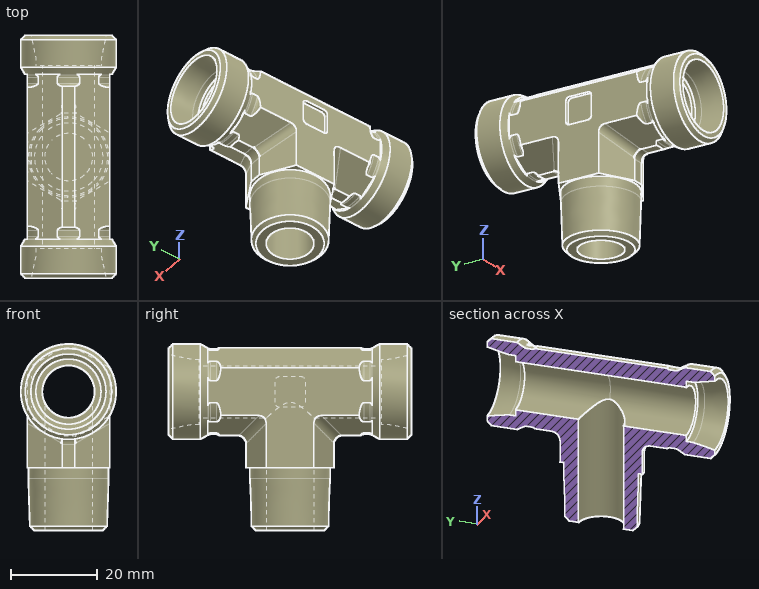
import cadquery as cq
import math

length = 56.0
overall_height = 43.0

across_flats = 19.05
truncated_half_height = 10.15
flat_half = across_flats / 2
corner_half = flat_half / math.sqrt(3)
truncation_half_width = (2 * corner_half - truncated_half_height) * math.sqrt(3)
stem_hex_bottom = -17.5
inside_corner_radius = 2.0

collar_radius = 22.0 / 2
collar_chamfer = 1.05
collar_cone_start = 20.6
collar_inner_end = 18.9
cone_angle = math.radians(30)

groove_radius = 9.85
groove_inner_end = 15.95
groove_fillet = 1.0
groove_clearance_radius = 12.3

bore_diameter = 12.0
socket_diameter = 15.0
socket_depth = 7.0
mouth_diameter = 17.3
mouth_half_angle = math.radians(12)

stem_bore_diameter = 11.0
stem_end_radius = 18.55 / 2
taper_start = -20.0
stem_bottom = collar_radius - overall_height
stem_chamfer = 1.05
taper_per_length = 1 / 32

recess_size = 7.0
recess_corner_radius = 1.0
recess_depth = 1.0


def collar_cone_radius(y):
    return collar_radius - (collar_cone_start - y) * math.tan(cone_angle)


def revolve_about_y(outline):
    """Turn a closed (radius, y) outline once around the run axis."""
    return outline.close().revolve(360, (0, 0, 0), (0, 1, 0))


def both_ends(end):
    return end.union(end.mirror("XZ"))


def body_section(plane):
    return cq.Workplane(plane).polyline([
        (flat_half, corner_half),
        (truncation_half_width, truncated_half_height),
        (-truncation_half_width, truncated_half_height),
        (-flat_half, corner_half),
        (-flat_half, -corner_half),
        (-truncation_half_width, -truncated_half_height),
        (truncation_half_width, -truncated_half_height),
        (flat_half, -corner_half),
    ]).close()


def make_body():
    run = body_section("XZ").extrude(collar_inner_end, both=True)
    stem = body_section("XY").extrude(stem_hex_bottom)
    body = run.union(stem)
    margin = 0.05
    corner_reach = truncated_half_height + margin
    corner_zone = cq.selectors.BoxSelector(
        (-flat_half - margin, -corner_reach, -corner_reach),
        (flat_half + margin, corner_reach, -corner_half + margin),
        boundingbox=True,
    )
    inside_corners = [
        edge for edge in body.edges(corner_zone).vals()
        if abs(abs(edge.Center().y) + edge.Center().z) < margin
        and edge.BoundingBox().xlen > margin
    ]
    return body.newObject(inside_corners).fillet(inside_corner_radius)


def make_groove():
    rounding_rise = groove_fillet * (1 - math.cos(cone_angle))
    rounding_top_radius = groove_radius + rounding_rise
    rounding_top = collar_cone_start - (collar_radius - rounding_top_radius) / math.tan(cone_angle)
    rounding_bottom = rounding_top - groove_fillet * math.sin(cone_angle)
    half_angle = cone_angle / 2
    rounding_middle = (
        groove_radius + groove_fillet * (1 - math.cos(half_angle)),
        rounding_bottom + groove_fillet * math.sin(half_angle),
    )
    wall_foot = groove_inner_end + groove_fillet
    wall_middle = (
        groove_radius + groove_fillet * (1 - math.sqrt(0.5)),
        wall_foot - groove_fillet * math.sqrt(0.5),
    )
    outline = (
        cq.Workplane("XY")
        .moveTo(groove_clearance_radius, collar_inner_end)
        .lineTo(collar_cone_radius(collar_inner_end), collar_inner_end)
        .lineTo(rounding_top_radius, rounding_top)
        .threePointArc(rounding_middle, (groove_radius, rounding_bottom))
        .lineTo(groove_radius, wall_foot)
        .threePointArc(wall_middle, (groove_radius + groove_fillet, groove_inner_end))
        .lineTo(groove_clearance_radius, groove_inner_end)
    )
    return revolve_about_y(outline)


def make_collar():
    end = length / 2
    outline = cq.Workplane("XY").polyline([
        (0, collar_inner_end),
        (collar_cone_radius(collar_inner_end), collar_inner_end),
        (collar_radius, collar_cone_start),
        (collar_radius, end - collar_chamfer),
        (collar_radius - collar_chamfer, end),
        (0, end),
    ])
    return revolve_about_y(outline)


def make_end_bore():
    end = length / 2
    mouth_depth = (mouth_diameter - socket_diameter) / 2 / math.tan(mouth_half_angle)
    outline = cq.Workplane("XY").polyline([
        (0, 0),
        (bore_diameter / 2, 0),
        (bore_diameter / 2, end - socket_depth),
        (socket_diameter / 2, end - socket_depth),
        (socket_diameter / 2, end - mouth_depth),
        (mouth_diameter / 2, end),
        (0, end),
    ])
    return revolve_about_y(outline)


def make_stem_end():
    chamfer_top = stem_bottom + stem_chamfer
    tapered_radius = stem_end_radius - (taper_start - chamfer_top) * taper_per_length
    outline = cq.Workplane("XZ").polyline([
        (0, stem_hex_bottom),
        (stem_end_radius, stem_hex_bottom),
        (stem_end_radius, taper_start),
        (tapered_radius, chamfer_top),
        (tapered_radius - stem_chamfer, stem_bottom),
        (0, stem_bottom),
    ])
    return outline.close().revolve(360, (0, 0, 0), (0, 1, 0))


def make_recess():
    return (
        cq.Workplane("YZ", origin=(-flat_half, 0, 0))
        .rect(recess_size, recess_size)
        .extrude(recess_depth)
        .edges("|X")
        .fillet(recess_corner_radius)
    )


stem_bore = cq.Workplane("XY").circle(stem_bore_diameter / 2).extrude(stem_bottom)

result = (
    make_body()
    .cut(both_ends(make_groove()))
    .union(both_ends(make_collar()))
    .union(make_stem_end())
    .cut(both_ends(make_end_bore()))
    .cut(stem_bore)
    .cut(make_recess())
)